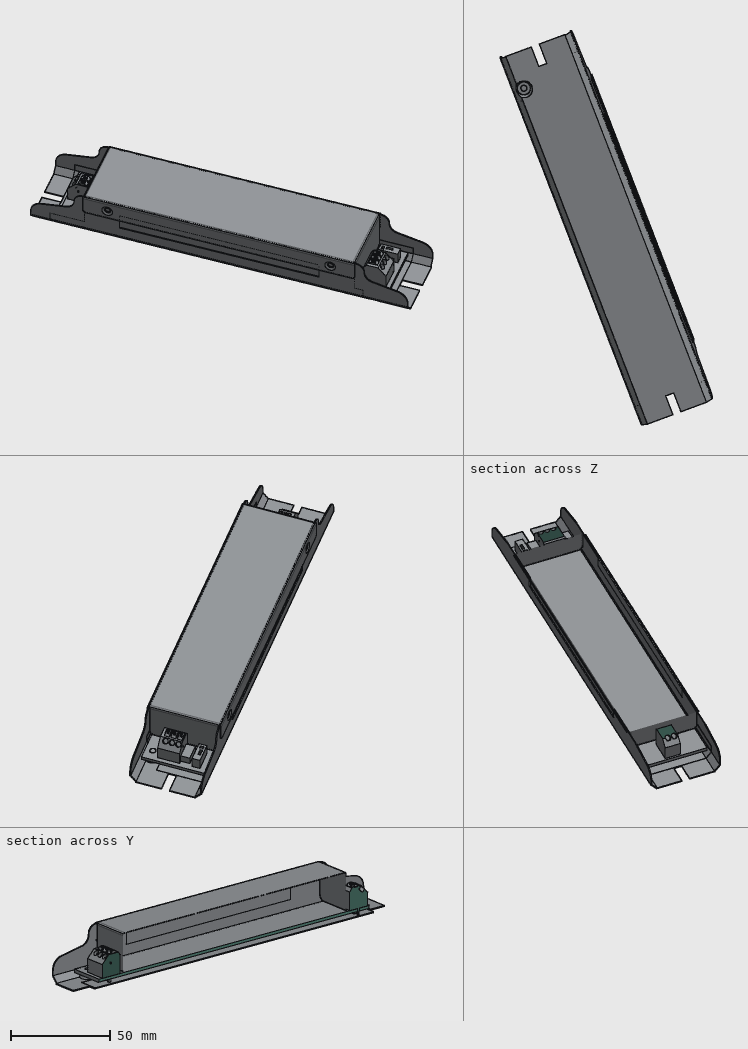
import cadquery as cq
import math

base_half_length = 100.8
floor_overhang = 0.5
base_half_width = 19.2
floor_half_width = 16.0
bevel_height = 3.6
sheet_metal = 0.6
shoulder_x = 77.5
toe_height = 12.1
heel_height = 16.2
toe_radius = 6.7
heel_radius = 5.3
crown_radius = 4.6
mount_slot_width = 4.2
window_half_length = 53.3
window_bottom = 9.9
window_top = 18.5

total_height = 26.0
cover_half_length = 72.7
cover_half_width = base_half_width + sheet_metal
flange_bottom = 15.4
flange_corner_radius = 1.6
cover_edge_radius = 1.2
end_wall_half_width = 18.4
end_wall_bottom = 5.5
end_wall_chamfer = 1.6
end_wall_rounding = 0.5
dimple_x = 59.5
dimple_z = 20.2
dimple_diameter = 5.7
dimple_inner_diameter = 3.2
wall_hole_diameter = 2.8

liner_thickness = 0.2
liner_half_length = 90.5
liner_end_height = 7.9
liner_middle_height = 22.2
liner_notch_x = 76.8
liner_notch_y = -8.5

board_left = -87.7
board_right = 88.0
board_half_width = 17.4
board_bottom = 3.0
board_thickness = 1.8

boss_x = 82.2
boss_y = -13.3
boss_base_radius = 4.8
boss_top_radius = 3.6
boss_wall = 0.5
stud_diameter = 2.8
board_hole_diameter = 3.2

pole_pitch = 3.5
terminal_margin = 1.5
terminal_length = 12.0
terminal_front_height = 7.3
terminal_height = 11.7
terminal_back_height = 9.9
terminal_slope_length = 4.2
terminal_back_chamfer = 1.5
pole_offset = -0.6
wire_hole_diameter = 2.8
wire_hole_depth = 2.0
wire_hole_x = 3.0
lever_width = 2.6
lever_start = 5.3
lever_length = 4.8
lever_rise = 1.2
lever_slot_width = 0.8
lever_slot_length = 2.0
side_hole_diameter = 0.7
side_hole_depth = 0.6
side_hole_x = 5.7
side_hole_z = 6.9
pin_width = 1.2
thin_pin_width = 0.8
pin_x = 6.0
pin_tip = 1.0
input_front_x = -86.7
input_y = 1.0
output_front_x = 85.8
output_y = -3.6

side_block_left = 75.8
side_block_right = 84.2
side_block_y = 7.0
side_block_height = 4.0
side_pin_y = 4.8
side_pin_tip = 2.2

header_x = 80.4
header_y = 11.0
header_length = 10.5
header_width = 4.2
header_height = 6.0
header_pocket_depth = 3.0
header_pockets = [(-3.5, 0, 1.2, 1.8), (0, 0.5, 3.2, 1.2)]
header_pin_xs = [-3.5, 0]

wall_top = total_height - sheet_metal
board_top = board_bottom + board_thickness
bevel_width = base_half_width - floor_half_width
bevel_angle = math.atan2(bevel_height, bevel_width)
boss_height = board_bottom
mount_slot_length = base_half_length - liner_half_length


def box(x0, x1, y0, y1, z0, z1):
    """Box given by its limits along each axis."""
    return cq.Workplane("XY").box(x1 - x0, y1 - y0, z1 - z0, centered=False).translate((x0, y0, z0))


def half_section(inset, top):
    """+Y half of the channel outline, moved inward by inset, from the floor middle up to top."""
    floor_end = floor_half_width - inset * math.tan(bevel_angle / 2)
    wall_y = base_half_width - inset
    wall_start = bevel_height + inset * math.tan((math.pi / 2 - bevel_angle) / 2)
    return [(floor_end, inset), (wall_y, wall_start), (wall_y, top)]


def channel(inset, thickness, half_length, top):
    """Bevelled U-channel centred along X; its outside is the base outside moved in by inset."""
    outer = half_section(inset, top)
    inner = half_section(inset + thickness, top)
    right = outer + inner[::-1]
    left = [(-y, z) for y, z in inner + outer[::-1]]
    return (
        cq.Workplane("YZ").polyline(right + left).close()
        .extrude(2 * half_length).translate((-half_length, 0, 0))
    )


def wall_silhouette():
    """Side outline of the base: low rounded ends that sweep up to the tall middle."""
    corners = [
        (base_half_length, 0),
        (base_half_length, toe_height),
        (shoulder_x, heel_height),
        (shoulder_x, wall_top),
    ]
    outline = corners + [(-x, z) for x, z in corners[::-1]]
    body = cq.Workplane("XZ").polyline(outline).close().extrude(base_half_width, both=True)
    for x, z, radius in [
        (base_half_length, toe_height, toe_radius),
        (shoulder_x, heel_height, heel_radius),
        (shoulder_x, wall_top, crown_radius),
    ]:
        for side in (-1, 1):
            corner = cq.selectors.NearestToPointSelector((side * x, 0, z))
            body = body.edges(corner).fillet(radius)
    return body


def boss_cone(shrink):
    """Ground boss cone; shrink moves its surface inward to form the hollow underside."""
    cone = cq.Solid.makeCone(
        boss_base_radius - shrink, boss_top_radius - shrink, boss_height, cq.Vector(boss_x, boss_y, 0)
    )
    return cq.Workplane(cone)


def channel_fill():
    """Solid block that fills the outside of the base channel."""
    right = half_section(0, wall_top)
    left = [(-y, z) for y, z in right[::-1]]
    return (
        cq.Workplane("YZ").polyline(right + left).close()
        .extrude(2 * base_half_length).translate((-base_half_length, 0, 0))
    )


def wall_holes(x):
    """Cutter for the pair of holes through both side walls at x."""
    return (
        cq.Workplane("XZ").center(x, dimple_z).circle(wall_hole_diameter / 2)
        .extrude(base_half_width, both=True)
    )


def make_base():
    """Channel with shaped side walls, slots, windows, and the ground boss."""
    base = channel(0, sheet_metal, base_half_length, wall_top).intersect(wall_silhouette())
    floor_end = base_half_length + floor_overhang
    base = base.union(
        box(liner_half_length, floor_end, -floor_half_width, floor_half_width, 0, sheet_metal)
    )
    half_slot = mount_slot_width / 2
    base = base.cut(box(liner_half_length, floor_end, -half_slot, half_slot, 0, sheet_metal))
    base = base.cut(
        box(-base_half_length, -liner_half_length, -half_slot, half_slot, 0, sheet_metal)
    )
    base = base.cut(
        box(-window_half_length, window_half_length, -base_half_width, base_half_width,
            window_bottom, window_top)
    )
    for x in (-dimple_x, dimple_x):
        base = base.cut(wall_holes(x))
    boss = boss_cone(0).intersect(channel_fill())
    hollow = boss_cone(boss_wall).translate((0, 0, -boss_wall))
    stud = (
        cq.Workplane("XY").workplane(offset=boss_height).center(boss_x, boss_y)
        .circle(stud_diameter / 2).extrude(board_thickness)
    )
    return base.union(boss).cut(hollow).union(stud)


def dimple(side):
    """Conical dimple through one flange; side is -1 or +1 for -Y or +Y."""
    return cq.Workplane(cq.Solid.makeCone(
        dimple_diameter / 2, dimple_inner_diameter / 2, sheet_metal,
        cq.Vector(0, side * cover_half_width, dimple_z), cq.Vector(0, -side, 0)
    ))


def end_wall_space():
    """Room that the end walls fill, from end to end of the cover."""
    space = box(-cover_half_length, cover_half_length, -end_wall_half_width, end_wall_half_width,
                end_wall_bottom, total_height)
    space = space.edges("|X and <Z").chamfer(end_wall_chamfer)
    return space.edges("|Z").fillet(end_wall_rounding)


def make_cover():
    block = box(-cover_half_length, cover_half_length, -cover_half_width, cover_half_width,
                end_wall_bottom, total_height)
    block = block.edges(">Z").fillet(cover_edge_radius)
    shell = block.cut(
        box(-cover_half_length, cover_half_length, -base_half_width, base_half_width, 0, wall_top)
    )
    shell = shell.cut(
        box(-cover_half_length, cover_half_length, -cover_half_width, cover_half_width,
            0, flange_bottom)
    )
    shell = shell.edges("|Y and <Z").fillet(flange_corner_radius)
    inside = cover_half_length - sheet_metal
    end_walls = block.intersect(end_wall_space()).cut(
        box(-inside, inside, -base_half_width, base_half_width, 0, total_height)
    )
    cover = shell.union(end_walls)
    for side in (-1, 1):
        for x in (-dimple_x, dimple_x):
            cover = cover.cut(dimple(side).translate((x, 0, 0)))
    return cover


def make_liner():
    liner = channel(sheet_metal, liner_thickness, liner_half_length, liner_middle_height)
    tall_end = cover_half_length - sheet_metal
    for x0, x1 in ((-liner_half_length, -tall_end), (tall_end, liner_half_length)):
        liner = liner.cut(
            box(x0, x1, -base_half_width, base_half_width, liner_end_height, liner_middle_height)
        )
    notch = box(liner_notch_x, liner_half_length, -base_half_width, liner_notch_y,
                0, liner_middle_height)
    return liner.cut(notch)


def pin(x, y, tip, width):
    """Square pin from the board top down to tip."""
    half = width / 2
    return box(x - half, x + half, y - half, y + half, tip, board_top)


def lever():
    """Arched release lever with a screwdriver slot, standing on a terminal top at Y = 0."""
    end = lever_start + lever_length
    middle = lever_start + lever_length / 2
    body = (
        cq.Workplane("XZ")
        .moveTo(lever_start, terminal_height)
        .threePointArc((middle, terminal_height + lever_rise), (end, terminal_height))
        .close().extrude(lever_width / 2, both=True)
    )
    slot = (
        cq.Workplane("XY").workplane(offset=terminal_height).center(middle, 0)
        .rect(lever_slot_length, lever_slot_width).extrude(lever_rise)
    )
    return body.cut(slot)


def wire_hole():
    """Round wire entry, square to the sloped front face, at Y = 0."""
    slope_rise = terminal_height - terminal_front_height
    slope = math.hypot(slope_rise, terminal_slope_length)
    inward = cq.Vector(slope_rise / slope, 0, -terminal_slope_length / slope)
    centre_z = terminal_front_height + wire_hole_x * slope_rise / terminal_slope_length
    centre = cq.Vector(wire_hole_x, 0, centre_z)
    return cq.Workplane(
        cq.Solid.makeCylinder(wire_hole_diameter / 2, wire_hole_depth, centre, inward)
    )


def terminal_width(poles):
    """Body width of a terminal with the given number of poles."""
    return poles * pole_pitch + terminal_margin


def make_terminal(poles):
    """Terminal with its front face at X = 0, facing -X, its middle at Y = 0, on the board."""
    half_width = terminal_width(poles) / 2
    body = (
        cq.Workplane("XZ")
        .polyline([
            (0, 0),
            (terminal_length, 0),
            (terminal_length, terminal_back_height),
            (terminal_length - terminal_back_chamfer, terminal_height),
            (terminal_slope_length, terminal_height),
            (0, terminal_front_height),
        ])
        .close().extrude(half_width, both=True)
    )
    side_hole = cq.Solid.makeCylinder(
        side_hole_diameter / 2, side_hole_depth,
        cq.Vector(side_hole_x, -half_width, side_hole_z), cq.Vector(0, 1, 0)
    )
    body = body.cut(cq.Workplane(side_hole))
    for index in range(poles):
        y = pole_offset + (index - (poles - 1) / 2) * pole_pitch
        body = body.cut(wire_hole().translate((0, y, 0)))
        body = body.union(lever().translate((0, y, 0)))
        body = body.union(pin(pin_x, y, pin_tip, pin_width).translate((0, 0, -board_top)))
    return body.translate((0, 0, board_top))


def make_input_terminal():
    poles = 2
    return make_terminal(poles).translate((input_front_x, input_y, 0))


def make_output_terminal():
    poles = 3
    terminal = make_terminal(poles).rotate((0, 0, 0), (0, 0, 1), 180)
    terminal = terminal.translate((output_front_x, output_y, 0))
    side_block = box(side_block_left, side_block_right,
                     output_y + terminal_width(poles) / 2, side_block_y,
                     board_top, board_top + side_block_height)
    side_pin = pin((side_block_left + side_block_right) / 2, side_pin_y, side_pin_tip, thin_pin_width)
    return terminal.union(side_block).union(side_pin)


def make_header():
    header = (
        cq.Workplane("XY").box(header_length, header_width, header_height, centered=(True, True, False))
        .translate((header_x, header_y, board_top))
    )
    for x, y, length, width in header_pockets:
        pocket = (
            cq.Workplane("XY").rect(length, width).extrude(header_pocket_depth)
            .translate((header_x + x, header_y + y, board_top + header_height - header_pocket_depth))
        )
        header = header.cut(pocket)
    for x in header_pin_xs:
        header = header.union(pin(header_x + x, header_y, pin_tip, thin_pin_width))
    return header


def make_board(mounted):
    """Circuit board, with matching holes for the pins of the mounted parts."""
    board = box(board_left, board_right, -board_half_width, board_half_width, board_bottom, board_top)
    ground_hole = (
        cq.Workplane("XY").center(boss_x, boss_y).circle(board_hole_diameter / 2).extrude(board_top)
    )
    board = board.cut(ground_hole)
    for component in mounted:
        board = board.cut(component)
    return board


base = make_base()
cover = make_cover()
liner = make_liner()
input_terminal = make_input_terminal()
output_terminal = make_output_terminal()
header = make_header()
board = make_board([input_terminal, output_terminal, header])

bodies = [base, cover, liner, board, input_terminal, output_terminal, header]
result = cq.Compound.makeCompound([body.solids().val() for body in bodies])